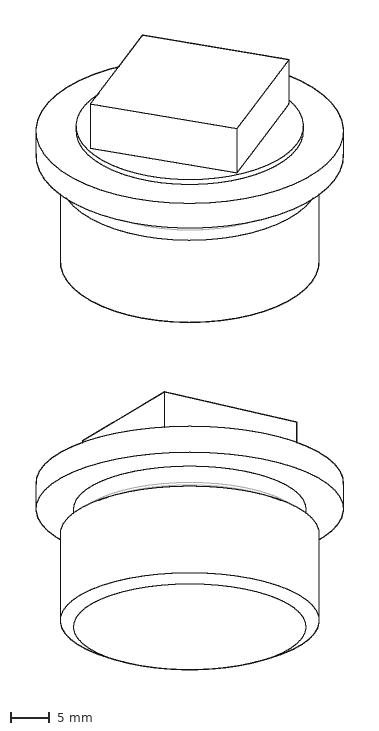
import cadquery as cq
import math

total_height = 27.0
flange_diameter = 39.5
collar_diameter = 29.2
neck_diameter = 29.85
body_diameter = 33.25
square_side = 20.0

body_top = 12.85
flange_bottom = 16.27
flange_top = 19.85
collar_top = 20.58

taper_angle = math.radians(27)
bottom_taper_width = 1.7
neck_fillet_radius = 0.5

flange_radius = flange_diameter / 2
collar_radius = collar_diameter / 2
neck_radius = neck_diameter / 2
body_radius = body_diameter / 2
bottom_taper_height = bottom_taper_width * math.tan(taper_angle)
shoulder_height = (body_radius - neck_radius) * math.tan(taper_angle)

fillet_turn = math.pi / 2 - taper_angle
fillet_tangent = neck_fillet_radius * math.tan(fillet_turn / 2)
fillet_center_r = neck_radius + neck_fillet_radius
corner_z = body_top + shoulder_height
fillet_top_z = corner_z + fillet_tangent
fillet_low_r = neck_radius + fillet_tangent * math.cos(taper_angle)
fillet_low_z = corner_z - fillet_tangent * math.sin(taper_angle)
fillet_mid_r = fillet_center_r - neck_fillet_radius * math.cos(fillet_turn / 2)
fillet_mid_z = fillet_top_z - neck_fillet_radius * math.sin(fillet_turn / 2)


def make_turned_plug():
    """Revolve the half section of the body, neck, flange and collar."""
    section = (
        cq.Workplane("XZ")
        .moveTo(0, 0)
        .lineTo(body_radius - bottom_taper_width, 0)
        .lineTo(body_radius, bottom_taper_height)
        .lineTo(body_radius, body_top)
        .lineTo(fillet_low_r, fillet_low_z)
        .threePointArc((fillet_mid_r, fillet_mid_z), (neck_radius, fillet_top_z))
        .lineTo(neck_radius, flange_bottom)
        .lineTo(flange_radius, flange_bottom)
        .lineTo(flange_radius, flange_top)
        .lineTo(collar_radius, flange_top)
        .lineTo(collar_radius, collar_top)
        .lineTo(0, collar_top)
        .close()
    )
    return section.revolve(360, (0, 0, 0), (0, 1, 0))


def make_square_head():
    """Square drive head standing on the collar."""
    return (
        cq.Workplane("XY")
        .workplane(offset=collar_top)
        .rect(square_side, square_side)
        .extrude(total_height - collar_top)
    )


result = make_turned_plug().union(make_square_head())